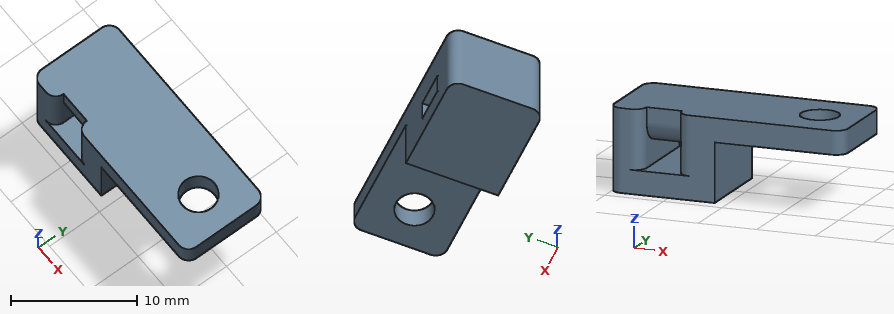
import cadquery as cq

length = 20.0
width = 8.0
height = 7.0
plate_thickness = 2.0
block_length = 9.0
corner_radius = 1.0

hole_diameter = 3.2
hole_x = 16.4

channel_start_x = 2.8
channel_width = 3.0
channel_floor_z = 2.0
channel_height = 2.0
mouth_radius = 1.0
roof_radius = 1.75
channel_roof_z = channel_floor_z + channel_height
channel_end_x = channel_start_x + channel_width


def make_body():
    """L-shaped side profile with rounded vertical outer corners."""
    profile = (
        cq.Workplane("XZ")
        .polyline([
            (0, 0),
            (block_length, 0),
            (block_length, height - plate_thickness),
            (length, height - plate_thickness),
            (length, height),
            (0, height),
        ])
        .close()
        .extrude(-width)
    )
    outline = (
        cq.Workplane("XY")
        .rect(length, width)
        .extrude(height)
        .edges("|Z")
        .fillet(corner_radius)
        .translate((length / 2, width / 2, 0))
    )
    return profile.intersect(outline)


def make_channel():
    """Straight channel whose roof rolls up to the top face near the front."""
    roof_center_y = mouth_radius + roof_radius
    roof_center_z = channel_roof_z + roof_radius
    return (
        cq.Workplane("YZ", origin=(channel_start_x, 0, 0))
        .moveTo(0, channel_floor_z)
        .lineTo(width, channel_floor_z)
        .lineTo(width, channel_roof_z)
        .lineTo(roof_center_y, channel_roof_z)
        .radiusArc((mouth_radius, roof_center_z), roof_radius)
        .lineTo(mouth_radius, height)
        .lineTo(0, height)
        .close()
        .extrude(channel_width)
    )


def make_mouth():
    """Front opening that flares outward with a rounded lip on each side."""
    return (
        cq.Workplane("XY", origin=(0, 0, channel_floor_z))
        .moveTo(channel_start_x - mouth_radius, 0)
        .lineTo(channel_end_x + mouth_radius, 0)
        .radiusArc((channel_end_x, mouth_radius), mouth_radius)
        .lineTo(channel_start_x, mouth_radius)
        .radiusArc((channel_start_x - mouth_radius, 0), mouth_radius)
        .close()
        .extrude(height - channel_floor_z)
    )


def make_hole():
    """Vertical hole centred across the width of the plate."""
    return (
        cq.Workplane("XY")
        .center(hole_x, width / 2)
        .circle(hole_diameter / 2)
        .extrude(height)
    )


result = make_body().cut(make_channel()).cut(make_mouth()).cut(make_hole())